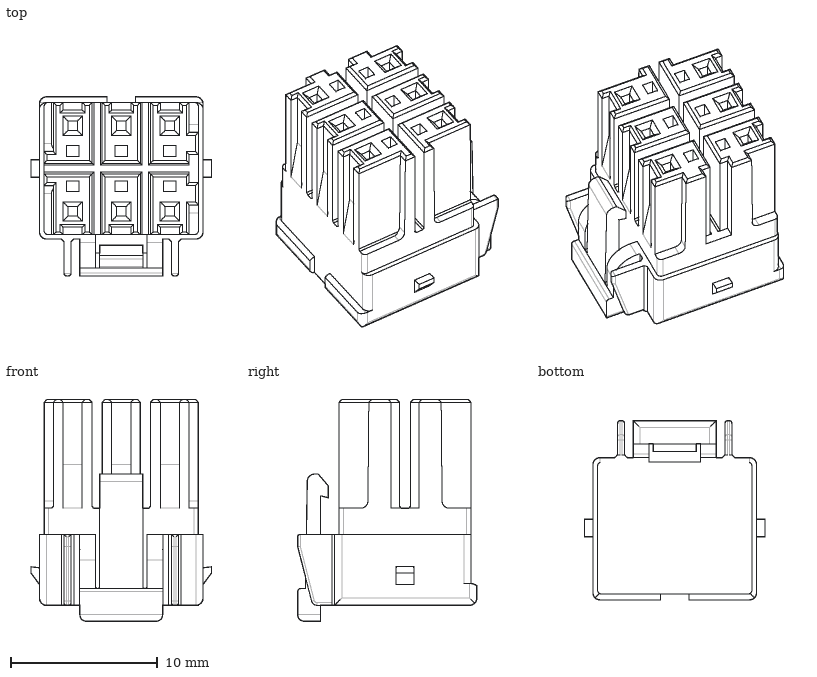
import cadquery as cq
import math

total_width = 12.3
total_height = 15.1
tower_base_z = 7.7
collar_top_z = 5.92
collar_bottom_z = 1.09

core_half_x = 5.25
core_half_y = 4.5
core_corner_radius = 0.3

collar_half_x = 5.57
collar_front_y = -4.8
collar_corner_radius = 0.5
lip_back_y = 4.89
lip_top_z = 2.58
lip_crown_drop = 0.17
lip_crown_sag = 0.03
lip_gap_half_x = 0.97

column_pitch = 3.3
slot_half_y = 0.36
middle_tower_half_x = 1.3
side_tower_inner_x = 1.98
tower_chamfer = 0.2
flare = 0.12
groove_width = 1.3
groove_depth = 0.51
groove_floor_y = core_half_y - groove_depth
ramp_top_z = 10.68

rib_depth = 0.63
rib_wall_x = core_half_x - rib_depth
rib_root_radius = 0.48
rib_draft = 0.06
left_rib_outer_y = 1.15
right_rib_inner_y = 0.95
right_rib_outer_y = 2.46

funnel_y = 2.91
funnel_size = 1.31
funnel_depth = 0.33
socket_size = 0.65
probe_y = 1.2
probe_size_x = 0.85
probe_size_y = 0.72
opening_depth = 3.02

lug_tip_x = total_width / 2
lug_half_y = 0.6
lug_root_top_z = 3.65
lug_tip_top_z = 3.71
lug_tip_bottom_z = 3.29
lug_root_bottom_z = 2.5

wing_x = 3.65
wing_thickness = 0.48
wing_tip_y = -7.31
wing_toe_y = -6.28
wing_shoulder_z = 5.07
wing_corner_radius = 0.18
wing_edge_radius = 0.18
wing_toe_radius = 0.38
wing_root_chamfer = 0.18

latch_half_x = 2.82
latch_window_half_x = 1.75
latch_inner_y = -5.74
latch_outer_y = -6.78
strap_bend_y = -5.05
bar_top_z = 2.23
bar_bottom_radius = 0.45
bar_top_radius = 0.21
arm_half_x = 1.46
arm_top_z = 10.03
arm_head_y = -6.66
arm_crest_y = -5.9
arm_head_radius = 0.51
hook_tip_y = -5.21
hook_tip_top_z = 9.21
hook_tip_bottom_z = 8.4
hook_root_z = 8.53
arm_root_radius = 0.14


def block(x0, x1, y0, y1, z0, z1):
    """Axis-aligned box between opposite corners."""
    return cq.Workplane("XY").box(x1 - x0, y1 - y0, z1 - z0, centered=False).translate((x0, y0, z0))


def side_profile(x0, x1):
    """YZ sketch plane at x0 and the distance to extrude it to x1."""
    return cq.Workplane("YZ", origin=(x0, 0, 0)), x1 - x0


def mirrored_pair(solid, plane):
    """The solid joined with its mirror image across a plane through the origin."""
    return solid.union(solid.mirror(plane))



def make_core():
    core = block(-core_half_x, core_half_x, -core_half_y, core_half_y, collar_bottom_z, tower_base_z)
    return core.edges("|Z").fillet(core_corner_radius)


def make_lip_profile():
    """Collar base in side profile, its top bowing down across the back lip."""
    plane, width = side_profile(-collar_half_x, collar_half_x)
    crown_mid_y = (core_half_y + lip_back_y) / 2
    crown_mid_z = lip_top_z - lip_crown_drop / 2 + lip_crown_sag
    return (
        plane.moveTo(collar_front_y, collar_bottom_z)
        .lineTo(collar_front_y, lip_top_z)
        .lineTo(core_half_y, lip_top_z)
        .threePointArc((crown_mid_y, crown_mid_z), (lip_back_y, lip_top_z - lip_crown_drop))
        .lineTo(lip_back_y, collar_bottom_z)
        .close()
        .extrude(width)
    )


def make_collar():
    base = block(
        -collar_half_x, collar_half_x, collar_front_y, lip_back_y, collar_bottom_z, lip_top_z
    )
    base = base.edges("|Z").fillet(collar_corner_radius)
    base = base.intersect(make_lip_profile())
    upper = block(
        -collar_half_x, collar_half_x, collar_front_y, core_half_y, collar_bottom_z, collar_top_z
    )
    upper = upper.edges("|Z").fillet(collar_corner_radius)
    lip_gap = block(
        -lip_gap_half_x, lip_gap_half_x, core_half_y, lip_back_y, collar_bottom_z, lip_top_z
    )
    rounded = block(
        -collar_half_x, collar_half_x, collar_front_y, lip_back_y, collar_bottom_z, collar_top_z
    )
    rounded = rounded.faces("<Z").edges("<X or >X or >Y").fillet(collar_corner_radius)
    latch_window = block(
        -latch_window_half_x, latch_window_half_x, collar_front_y, -core_half_y,
        collar_bottom_z, collar_top_z,
    )
    return base.union(upper).intersect(rounded).cut(lip_gap).cut(latch_window)


def make_lugs():
    lug = (
        cq.Workplane("XZ", origin=(0, lug_half_y, 0))
        .moveTo(core_half_x, lug_root_top_z)
        .lineTo(collar_half_x, lug_root_top_z)
        .lineTo(lug_tip_x, lug_tip_top_z)
        .lineTo(lug_tip_x, lug_tip_bottom_z)
        .lineTo(collar_half_x, lug_root_bottom_z)
        .lineTo(core_half_x, lug_root_bottom_z)
        .close()
        .extrude(2 * lug_half_y)
    )
    return mirrored_pair(lug, "YZ")




def side_edge(column):
    """Outline points along the -X and +X sides of a tower, from back to slot."""
    if column < 0:
        left = [
            (-rib_wall_x, core_half_y),
            (-rib_wall_x, left_rib_outer_y),
            (-core_half_x, left_rib_outer_y),
            (-core_half_x, slot_half_y),
        ]
        return left, [(-side_tower_inner_x, core_half_y), (-side_tower_inner_x, slot_half_y)]
    if column > 0:
        right = [
            (rib_wall_x, core_half_y),
            (rib_wall_x, right_rib_outer_y),
            (core_half_x, right_rib_outer_y),
            (core_half_x, right_rib_inner_y),
            (rib_wall_x, right_rib_inner_y),
            (rib_wall_x, slot_half_y),
        ]
        return [(side_tower_inner_x, core_half_y), (side_tower_inner_x, slot_half_y)], right
    left = [(-middle_tower_half_x, core_half_y), (-middle_tower_half_x, slot_half_y)]
    right = [(middle_tower_half_x, core_half_y), (middle_tower_half_x, slot_half_y)]
    return left, right


def make_flare(outline, center_x):
    """Sloped skirt where a tower meets the core, left off the groove and the +X side."""
    skirt = (
        cq.Workplane("XY", origin=(0, 0, tower_base_z))
        .polyline(outline)
        .close()
        .offset2D(flare, "intersection")
        .extrude(flare, taper=45)
    )
    flare_top_z = tower_base_z + flare
    limit = block(-core_half_x, rib_wall_x, -core_half_y, core_half_y, tower_base_z, flare_top_z)
    half_width = groove_width / 2
    groove = block(
        center_x - half_width, center_x + half_width,
        groove_floor_y, core_half_y, tower_base_z, flare_top_z,
    )
    return skirt.intersect(limit).cut(groove)


def make_ramp(center_x):
    """Wedge that fills the lower part of a tower's outer groove."""
    half_width = groove_width / 2
    plane, width = side_profile(center_x - half_width, center_x + half_width)
    return (
        plane.moveTo(groove_floor_y, tower_base_z)
        .lineTo(core_half_y, tower_base_z)
        .lineTo(groove_floor_y, ramp_top_z)
        .close()
        .extrude(width)
    )


def make_openings(center_x):
    """Funnel-mouthed contact socket and the smaller probe hole beside it."""
    top = cq.Workplane("XY", origin=(center_x, 0, total_height))
    funnel = (
        top.center(0, funnel_y)
        .rect(funnel_size, funnel_size)
        .workplane(offset=-funnel_depth)
        .rect(socket_size, socket_size)
        .loft(ruled=True)
    )
    socket = top.center(0, funnel_y).rect(socket_size, socket_size).extrude(-opening_depth)
    probe = top.center(0, probe_y).rect(probe_size_x, probe_size_y).extrude(-opening_depth)
    return funnel.union(socket).union(probe)


def make_tower(column):
    center_x = column * column_pitch
    left, right = side_edge(column)
    groove = [
        (center_x + groove_width / 2, core_half_y),
        (center_x + groove_width / 2, groove_floor_y),
        (center_x - groove_width / 2, groove_floor_y),
        (center_x - groove_width / 2, core_half_y),
    ]
    tower = (
        cq.Workplane("XY", origin=(0, 0, tower_base_z))
        .polyline(left + right[::-1] + groove)
        .close()
        .extrude(total_height - tower_base_z)
        .faces(">Z")
        .chamfer(tower_chamfer)
    )
    tower = tower.union(make_flare(left + right[::-1], center_x)).union(make_ramp(center_x))
    return tower.cut(make_openings(center_x))


def make_rib_root(x0, x1, rib_y):
    """Drafted outer face of a rib with a concave round onto the ledge below it."""
    plane, width = side_profile(x0, x1)
    foot_y = rib_y + rib_draft
    far_y = foot_y + rib_root_radius
    crest_z = tower_base_z + rib_root_radius
    blend = rib_root_radius * (1 - math.sqrt(0.5))
    return (
        plane.moveTo(rib_y, tower_base_z)
        .lineTo(far_y, tower_base_z)
        .threePointArc((foot_y + blend, tower_base_z + blend), (foot_y, crest_z))
        .lineTo(rib_y, total_height - tower_chamfer)
        .close()
        .extrude(width)
    )


def make_back_row():
    row = make_rib_root(-core_half_x, -rib_wall_x, left_rib_outer_y)
    row = row.union(make_rib_root(rib_wall_x, core_half_x, right_rib_outer_y))
    for column in (-1, 0, 1):
        row = row.union(make_tower(column))
    return row



def make_wings():
    x0 = wing_x - wing_thickness / 2
    plane, width = side_profile(x0, x0 + wing_thickness)
    wing = (
        plane.moveTo(-core_half_y, collar_bottom_z)
        .lineTo(wing_toe_y, collar_bottom_z)
        .lineTo(wing_tip_y, wing_shoulder_z)
        .lineTo(wing_tip_y, collar_top_z)
        .lineTo(-core_half_y, collar_top_z)
        .close()
        .extrude(width)
    )
    wing = wing.edges("|X").edges("<Z").edges("<Y").fillet(wing_toe_radius)
    free_edges = cq.selectors.BoxSelector(
        (0, wing_tip_y - 0.15, collar_bottom_z - 0.15), (collar_half_x, collar_front_y, collar_top_z - 0.15)
    )
    wing = wing.edges("#X exc |X").edges(free_edges).edges("<X or >X").fillet(wing_edge_radius)
    corner_round = block(0, collar_half_x, wing_tip_y, -core_half_y, collar_bottom_z, collar_top_z)
    corner_round = corner_round.faces("<Y").edges(">Z").fillet(wing_corner_radius)
    wing = wing.intersect(corner_round)
    root_half = wing_thickness / 2 + wing_root_chamfer
    root = (
        cq.Workplane("XY", origin=(0, 0, collar_bottom_z))
        .moveTo(wing_x - root_half, collar_front_y)
        .lineTo(wing_x - wing_thickness / 2, collar_front_y - wing_root_chamfer)
        .lineTo(wing_x + wing_thickness / 2, collar_front_y - wing_root_chamfer)
        .lineTo(wing_x + root_half, collar_front_y)
        .close()
        .extrude(collar_top_z - collar_bottom_z)
    )
    return mirrored_pair(wing.union(root), "YZ")


def make_straps():
    """Bent straps from the collar top down to the thumb bar."""
    plane, width = side_profile(latch_window_half_x, latch_half_x)
    outer_radius = strap_bend_y - latch_outer_y
    inner_radius = strap_bend_y - latch_inner_y
    bend_z = collar_top_z - outer_radius
    diagonal = math.sqrt(0.5)
    strap = (
        plane.moveTo(-core_half_y, collar_top_z)
        .lineTo(strap_bend_y, collar_top_z)
        .threePointArc(
            (strap_bend_y - outer_radius * diagonal, bend_z + outer_radius * diagonal),
            (latch_outer_y, bend_z),
        )
        .lineTo(latch_outer_y, bar_top_z)
        .lineTo(latch_inner_y, bar_top_z)
        .lineTo(latch_inner_y, bend_z)
        .threePointArc(
            (strap_bend_y - inner_radius * diagonal, bend_z + inner_radius * diagonal),
            (strap_bend_y, bend_z + inner_radius),
        )
        .lineTo(-core_half_y, bend_z + inner_radius)
        .close()
        .extrude(width)
    )
    return mirrored_pair(strap, "YZ")


def make_thumb_bar():
    bar = block(-latch_half_x, latch_half_x, wing_tip_y, latch_inner_y, 0, bar_top_z)
    bar = bar.faces("<Y").edges(">Z").fillet(bar_top_radius)
    return bar.faces("<Z").edges("<X or >X or <Y").fillet(bar_bottom_radius)


def make_arm():
    """Tapered latch arm with a hooked, rounded head."""
    plane, width = side_profile(-arm_half_x, arm_half_x)
    blend = arm_head_radius * (1 - math.sqrt(0.5))
    return (
        plane.moveTo(latch_inner_y, bar_top_z)
        .lineTo(latch_inner_y, hook_root_z)
        .lineTo(hook_tip_y, hook_tip_bottom_z)
        .lineTo(hook_tip_y, hook_tip_top_z)
        .lineTo(arm_crest_y, arm_top_z)
        .lineTo(arm_head_y + arm_head_radius, arm_top_z)
        .threePointArc(
            (arm_head_y + blend, arm_top_z - blend),
            (arm_head_y, arm_top_z - arm_head_radius),
        )
        .lineTo(latch_outer_y, bar_top_z)
        .close()
        .extrude(width)
    )


def make_arm_roots():
    """Round-bottomed fillings at the foot of the gaps between arm and straps."""
    round_z = bar_top_z + arm_root_radius
    gap_center_x = (arm_half_x + latch_window_half_x) / 2
    root = block(arm_half_x, latch_window_half_x, latch_outer_y, latch_inner_y, bar_top_z, round_z)
    gap = (
        cq.Workplane("XZ", origin=(gap_center_x, latch_inner_y, round_z))
        .circle(arm_root_radius)
        .extrude(latch_inner_y - latch_outer_y)
    )
    return mirrored_pair(root.cut(gap), "YZ")


result = (
    make_core()
    .union(make_collar())
    .union(make_lugs())
    .union(mirrored_pair(make_back_row(), "XZ"))
    .union(make_wings())
    .union(make_straps())
    .union(make_thumb_bar())
    .union(make_arm())
    .union(make_arm_roots())
)